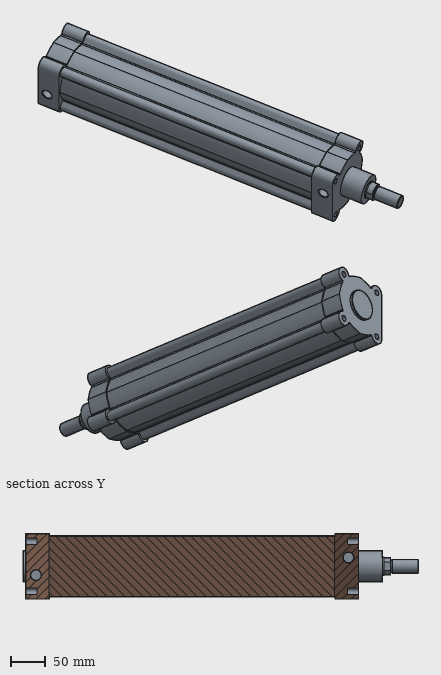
import cadquery as cq
import math


boss_height = 4.0
caps_overall = 478.0
cap_thickness = 34.0
collar_length = 34.0
lip_length = 2.0
shoulder_reach = 46.0
thread_length = 40.0

rear_cap_start = boss_height
barrel_start = rear_cap_start + cap_thickness
front_face = rear_cap_start + caps_overall
front_cap_start = front_face - cap_thickness
collar_end = front_face + collar_length
lip_end = collar_end + lip_length
shoulder = front_face + shoulder_reach

screw_offset = 36.0
cap_lug_radius = 11.0
cap_radius = 44.5
cap_ridge_half_width = 11.0
cap_floor = 38.5
cap_half_width = screw_offset + cap_lug_radius

barrel_lug_offset = 36.5
barrel_lug_radius = 7.0
barrel_radius = 43.0
barrel_ridge_half_width = 9.4
barrel_floor = 36.0

collar_diameter = 45.0
boss_chamfer = 0.8
lip_diameter = 26.0
screw_hole_diameter = 8.5
screw_hole_depth = 16.0
port_diameter = 15.0
port_chamfer = 0.8
port_depth = 20.0
port_height = 12.7
port_inset = 14.7

rod_diameter = 25.0
flat_width = 22.0
thread_diameter = 20.0
thread_chamfer = 1.0
undercut_length = 1.5


def place(point, quarter):
    """Turn a (sideways, outward) point of one side onto the side `quarter` turns clockwise from +Z."""
    u, v = point
    for _ in range(quarter):
        u, v = v, -u
    return (u, v)


def section(radius, ridge_half_width, floor, lug_offset, lug_radius, diagonal_arms):
    """Four-sided outline in YZ: a shallow ridge and two arcs on each side, a lug at each corner.

    Lugs are either plain circular lobes or diagonal arms with parallel sides and a rounded tip.
    """
    ridge_angle = math.asin(ridge_half_width / radius)
    arc_end_angle = math.acos(floor / radius)
    mid_angle = (ridge_angle + arc_end_angle) / 2

    def on_circle(angle):
        return (radius * math.sin(angle), radius * math.cos(angle))

    diagonal = lug_radius * math.sqrt(0.5)
    if diagonal_arms:
        floor_end = floor - lug_radius * math.sqrt(2)
        lug_start = (lug_offset - diagonal, lug_offset + diagonal)
    else:
        floor_end = lug_offset - math.sqrt(lug_radius ** 2 - (floor - lug_offset) ** 2)
        lug_start = (floor_end, floor)
    lug_end = (lug_start[1], lug_start[0])
    lug_tip = (lug_offset + diagonal, lug_offset + diagonal)
    apex = (0, radius / math.cos(ridge_angle))

    outline = cq.Workplane("YZ").moveTo(-floor_end, floor)
    for quarter in range(4):
        outline = outline.lineTo(*place(on_circle(-arc_end_angle), quarter))
        outline = outline.threePointArc(
            place(on_circle(-mid_angle), quarter), place(on_circle(-ridge_angle), quarter)
        )
        outline = outline.lineTo(*place(apex, quarter))
        outline = outline.lineTo(*place(on_circle(ridge_angle), quarter))
        outline = outline.threePointArc(
            place(on_circle(mid_angle), quarter), place(on_circle(arc_end_angle), quarter)
        )
        outline = outline.lineTo(*place((floor_end, floor), quarter))
        if diagonal_arms:
            outline = outline.lineTo(*place(lug_start, quarter))
        outline = outline.threePointArc(place(lug_tip, quarter), place(lug_end, quarter))
        if diagonal_arms and quarter < 3:
            outline = outline.lineTo(*place((floor, floor_end), quarter))
    return outline.close()


def cylinder(diameter, start, end):
    """Cylinder on the part's axis from X = start to X = end."""
    return cq.Workplane("YZ", origin=(start, 0, 0)).circle(diameter / 2).extrude(end - start)


def cap(start, outer_face, inward, port_z):
    """End cap with its port side on -Y; `inward` is the X sign pointing from the outer face to the barrel."""
    profile = section(cap_radius, cap_ridge_half_width, cap_floor, screw_offset, cap_lug_radius, False)
    body = profile.extrude(cap_thickness)
    port_side = cq.Workplane("XY").box(
        cap_thickness, cap_half_width - screw_offset, 2 * screw_offset, centered=(False, False, True)
    )
    body = body.union(port_side.translate((0, -cap_half_width, 0)))
    body = body.translate((start, 0, 0))

    screw_holes = (
        cq.Workplane("YZ", origin=(outer_face, 0, 0))
        .rect(2 * screw_offset, 2 * screw_offset, forConstruction=True)
        .vertices()
        .circle(screw_hole_diameter / 2)
        .extrude(inward * screw_hole_depth)
    )
    port_mouth = cq.Workplane("XZ", origin=(outer_face + inward * port_inset, -cap_half_width, port_z))
    port = port_mouth.circle(port_diameter / 2).extrude(-port_depth)
    countersink = port_mouth.circle(port_diameter / 2 + port_chamfer).extrude(-port_chamfer, taper=45)
    return body.cut(screw_holes).cut(port).cut(countersink)


def make_rear_cap():
    body = cap(rear_cap_start, rear_cap_start, 1, -port_height)
    boss = cylinder(collar_diameter, 0, rear_cap_start).faces("<X").chamfer(boss_chamfer)
    return body.union(boss)


def make_barrel():
    profile = section(
        barrel_radius, barrel_ridge_half_width, barrel_floor, barrel_lug_offset, barrel_lug_radius, True
    )
    return profile.extrude(front_cap_start - barrel_start).translate((barrel_start, 0, 0))


def make_front_cap():
    body = cap(front_cap_start, front_face, -1, port_height)
    body = body.union(cylinder(collar_diameter, front_face, collar_end))
    body = body.union(cylinder(lip_diameter, collar_end, lip_end))
    return body.cut(cylinder(rod_diameter, front_cap_start, lip_end))


def make_rod():
    """Rod with two wrench flats facing -Y and +Y, an undercut and a thread chamfered at both ends."""
    plain = cylinder(rod_diameter, front_cap_start, lip_end)
    across_flats = cq.Workplane("XY").box(
        shoulder - lip_end, flat_width, rod_diameter, centered=(False, True, True)
    )
    flats = cylinder(rod_diameter, lip_end, shoulder).intersect(across_flats.translate((lip_end, 0, 0)))
    undercut_diameter = thread_diameter - 2 * thread_chamfer
    undercut = cylinder(undercut_diameter, shoulder, shoulder + undercut_length)
    thread = cylinder(thread_diameter, shoulder + undercut_length, shoulder + thread_length)
    thread = thread.faces("<X or >X").chamfer(thread_chamfer)
    return plain.union(flats).union(undercut).union(thread)


rear_cap = make_rear_cap()
barrel = make_barrel()
front_cap = make_front_cap()
rod = make_rod()

result = cq.Compound.makeCompound([rear_cap.val(), barrel.val(), front_cap.val(), rod.val()])